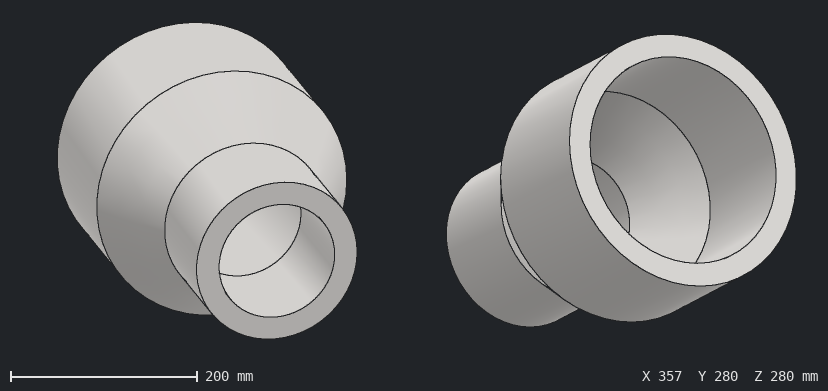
import math

import cadquery as cq

total_length = 357.0
large_length = 150.0
small_length = 120.0
large_diameter = 280.0
small_diameter = 180.0
wall = 25.5

large_end = -total_length / 2
small_end = total_length / 2
cone_start = large_end + large_length
cone_end = small_end - small_length

cone_angle = math.atan2((large_diameter - small_diameter) / 2, cone_end - cone_start)
bore_shift = wall * math.tan(cone_angle / 2)


def reducer_solid(inset, cone_shift):
    """Two cylinders joined by a cone, set in from the outer radii, revolved about X."""
    large_radius = large_diameter / 2 - inset
    small_radius = small_diameter / 2 - inset
    half_profile = (
        cq.Workplane("XY")
        .moveTo(large_end, 0)
        .lineTo(large_end, large_radius)
        .lineTo(cone_start - cone_shift, large_radius)
        .lineTo(cone_end - cone_shift, small_radius)
        .lineTo(small_end, small_radius)
        .lineTo(small_end, 0)
        .close()
    )
    return half_profile.revolve(360, (0, 0, 0), (1, 0, 0))


outer_body = reducer_solid(inset=0, cone_shift=0)
bore = reducer_solid(inset=wall, cone_shift=bore_shift)

result = outer_body.cut(bore)